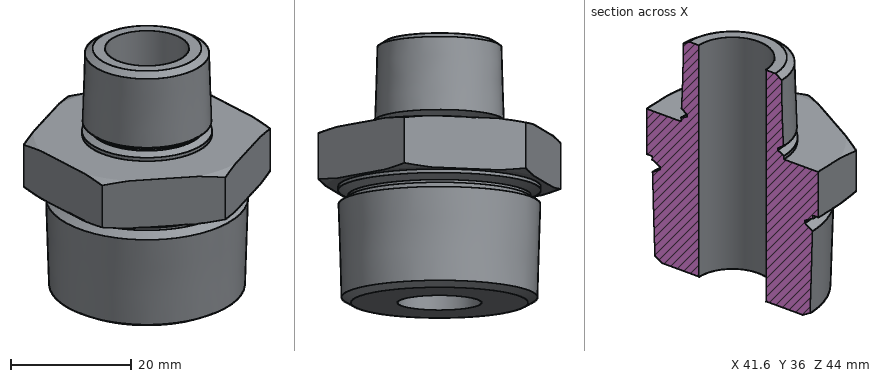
import cadquery as cq
import math

total_height = 44.0
across_flats = 36.0
hex_bottom = 19.6
hex_top = 28.3
hex_chamfer_angle = 15.0
hex_face_radius = 18.9
bore_diameter = 14.0
taper_per_side = 1 / 32

lower_spigot = {
    "collar_radius": 16.9,
    "collar_end": 0.6,
    "groove_radius": 15.25,
    "groove_start": 1.5,
    "groove_end": 1.95,
    "taper_radius": 16.83,
    "taper_start": 2.95,
    "end_chamfer_height": 0.9,
    "tip_radius": 14.75,
}
upper_spigot = {
    "collar_radius": 10.85,
    "collar_end": 0.65,
    "groove_radius": 9.55,
    "groove_start": 1.3,
    "groove_end": 1.6,
    "taper_radius": 10.75,
    "taper_start": 2.45,
    "end_chamfer_height": 0.85,
    "tip_radius": 9.05,
}


def make_spigot(spigot, hex_face, direction):
    """Revolve a spigot that leaves the hexagon face upwards (+1) or downwards (-1)."""
    length = total_height - hex_face if direction > 0 else hex_face
    taper_end = length - spigot["end_chamfer_height"]
    taper_length = taper_end - spigot["taper_start"]
    taper_end_radius = spigot["taper_radius"] - taper_length * taper_per_side
    outline = [
        (0, 0),
        (spigot["collar_radius"], 0),
        (spigot["collar_radius"], spigot["collar_end"]),
        (spigot["groove_radius"], spigot["groove_start"]),
        (spigot["groove_radius"], spigot["groove_end"]),
        (spigot["taper_radius"], spigot["taper_start"]),
        (taper_end_radius, taper_end),
        (spigot["tip_radius"], length),
        (0, length),
    ]
    points = [(radius, hex_face + direction * distance) for radius, distance in outline]
    return cq.Workplane("XZ").polyline(points).close().revolve(360, (0, 0, 0), (0, 1, 0))


def make_hexagon():
    """Hexagon with corners on the X axis, its corners chamfered at both ends by cones."""
    corner_radius = across_flats / math.sqrt(3)
    hexagon = (
        cq.Workplane("XY")
        .workplane(offset=hex_bottom)
        .polygon(6, 2 * corner_radius)
        .extrude(hex_top - hex_bottom)
    )
    chamfer_height = (corner_radius - hex_face_radius) * math.tan(math.radians(hex_chamfer_angle))
    envelope_points = [
        (0, hex_bottom),
        (hex_face_radius, hex_bottom),
        (corner_radius, hex_bottom + chamfer_height),
        (corner_radius, hex_top - chamfer_height),
        (hex_face_radius, hex_top),
        (0, hex_top),
    ]
    envelope = cq.Workplane("XZ").polyline(envelope_points).close().revolve(360, (0, 0, 0), (0, 1, 0))
    return hexagon.intersect(envelope)


bore = cq.Workplane("XY").circle(bore_diameter / 2).extrude(total_height)

result = (
    make_hexagon()
    .union(make_spigot(lower_spigot, hex_bottom, -1))
    .union(make_spigot(upper_spigot, hex_top, 1))
    .cut(bore)
)